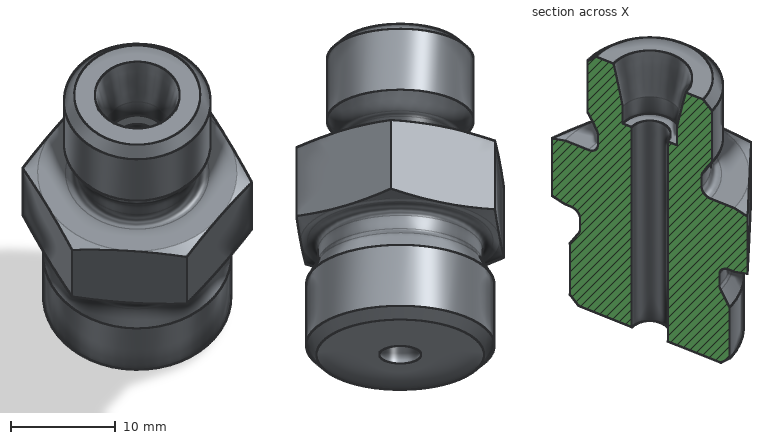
import cadquery as cq
import math

total_height = 32.0
hex_bottom = 12.0
hex_top = 20.0

across_flats = 19.0
across_corners = across_flats / math.cos(math.radians(30))
hex_chamfer_angle = 15.0

lower_thread_diameter = 18.0
lower_groove_diameter = 15.7
upper_thread_diameter = 14.0
upper_groove_diameter = 11.7
thread_length = 7.4
end_chamfer = 1.0
groove_radius = 1.0
groove_cone_angle = 30.0

bore_diameter = 4.0
seat_mouth_diameter = 8.1
seat_root_diameter = 6.0
seat_half_angle = 12.0
seat_cone_depth = (seat_mouth_diameter - seat_root_diameter) / 2 / math.tan(math.radians(seat_half_angle))
seat_depth = 7.0


def threaded_end(thread_diameter, groove_diameter, length):
    """Stud from its free end at Z = 0 to the hexagon face at Z = length."""
    thread_r = thread_diameter / 2
    groove_r = groove_diameter / 2
    slope = math.radians(groove_cone_angle)
    cone_end = thread_length + (thread_r - groove_r) / math.tan(slope)

    tangent = groove_radius * math.tan(slope / 2)
    arc_start = (groove_r + tangent * math.sin(slope), cone_end - tangent * math.cos(slope))
    arc_end = (groove_r, cone_end + tangent)
    arc_center = (groove_r + groove_radius, cone_end + tangent)
    arc_middle = (
        arc_center[0] - groove_radius * math.cos(slope / 2),
        arc_center[1] - groove_radius * math.sin(slope / 2),
    )

    diagonal = groove_radius * math.sqrt(0.5)
    blend_middle = (groove_r + groove_radius - diagonal, length - groove_radius + diagonal)

    return (
        cq.Workplane("XZ")
        .moveTo(0, 0)
        .lineTo(thread_r - end_chamfer, 0)
        .lineTo(thread_r, end_chamfer)
        .lineTo(thread_r, thread_length)
        .lineTo(*arc_start)
        .threePointArc(arc_middle, arc_end)
        .lineTo(groove_r, length - groove_radius)
        .threePointArc(blend_middle, (groove_r + groove_radius, length))
        .lineTo(0, length)
        .close()
        .revolve(360, (0, 0, 0), (0, 1, 0))
    )


def hexagon():
    """Hexagon with flats facing X, corners turned off by a cone at both faces."""
    prism = (
        cq.Workplane("XY")
        .workplane(offset=hex_bottom)
        .polygon(6, across_corners)
        .extrude(hex_top - hex_bottom)
        .rotate((0, 0, 0), (0, 0, 1), 30)
    )
    face_r = across_flats / 2
    corner_r = across_corners / 2
    drop = (corner_r - face_r) * math.tan(math.radians(hex_chamfer_angle))
    envelope = (
        cq.Workplane("XZ")
        .polyline([
            (0, hex_bottom),
            (face_r, hex_bottom),
            (corner_r, hex_bottom + drop),
            (corner_r, hex_top - drop),
            (face_r, hex_top),
            (0, hex_top),
        ])
        .close()
        .revolve(360, (0, 0, 0), (0, 1, 0))
    )
    return prism.intersect(envelope)


def passage():
    """Through bore with a straight tube socket and tapered mouth at the top."""
    bore_r = bore_diameter / 2
    socket_r = seat_root_diameter / 2
    return (
        cq.Workplane("XZ")
        .polyline([
            (0, 0),
            (bore_r, 0),
            (bore_r, total_height - seat_depth),
            (socket_r, total_height - seat_depth),
            (socket_r, total_height - seat_cone_depth),
            (seat_mouth_diameter / 2, total_height),
            (0, total_height),
        ])
        .close()
        .revolve(360, (0, 0, 0), (0, 1, 0))
    )


lower_end = threaded_end(lower_thread_diameter, lower_groove_diameter, hex_bottom)
upper_end = (
    threaded_end(upper_thread_diameter, upper_groove_diameter, total_height - hex_top)
    .rotate((0, 0, 0), (1, 0, 0), 180)
    .translate((0, 0, total_height))
)

result = hexagon().union(lower_end).union(upper_end).cut(passage())